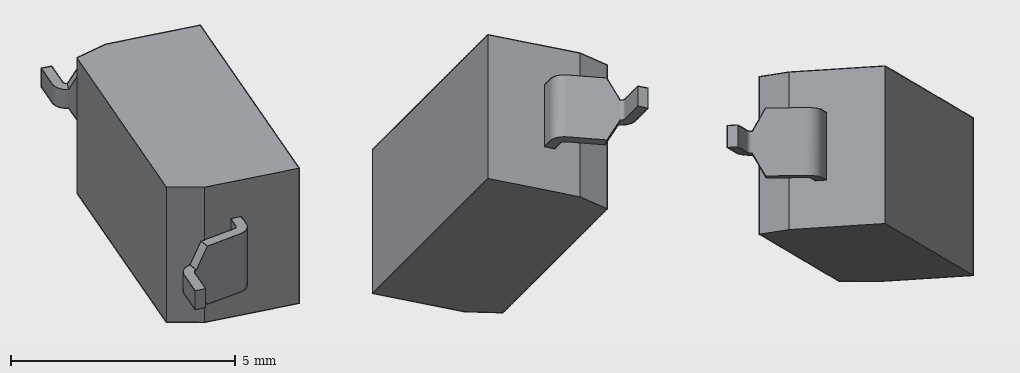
import cadquery as cq
import math

BODY_LENGTH = 6.30
BODY_DEPTH = 3.05
BODY_HEIGHT = 3.58
STANDOFF = 0.08
BEVEL_X = 0.30
BEVEL_Y = 0.80

LEAD_SPAN = 9.80
LEAD_THICKNESS = 0.25
LEAD_TOP = 1.75
LEAD_WIDTH = 1.54
FOOT_WIDTH = 0.50
FOOT_FLAT = 0.70
SHOULDER_FLAT = 0.32
TAPER_LENGTH = 0.30
LEAD_OFFSET_Z = 0.05
INNER_RADIUS = 0.10
OUTER_RADIUS = INNER_RADIUS + LEAD_THICKNESS

FOOT_BEND_X = -LEAD_SPAN / 2 + FOOT_FLAT
FOOT_BEND_Y = OUTER_RADIUS
SHOULDER_BEND_X = -BODY_LENGTH / 2 - SHOULDER_FLAT
SHOULDER_BEND_Y = LEAD_TOP - OUTER_RADIUS

BEND_RUN = SHOULDER_BEND_X - FOOT_BEND_X
BEND_RISE = SHOULDER_BEND_Y - FOOT_BEND_Y
WEB_ANGLE = math.atan2(BEND_RISE, BEND_RUN) + math.asin(
    (INNER_RADIUS + OUTER_RADIUS) / math.hypot(BEND_RUN, BEND_RISE)
)


def make_body():
    half_length = BODY_LENGTH / 2
    back = STANDOFF + BODY_DEPTH
    return (
        cq.Workplane("XY")
        .moveTo(-half_length, back)
        .lineTo(half_length, back)
        .lineTo(half_length, STANDOFF + BEVEL_Y)
        .lineTo(half_length - BEVEL_X, STANDOFF)
        .lineTo(-half_length + BEVEL_X, STANDOFF)
        .lineTo(-half_length, STANDOFF + BEVEL_Y)
        .close()
        .extrude(BODY_HEIGHT / 2, both=True)
    )


def foot_bend_point(radius, turn):
    """Point on the foot bend after turning from the foot towards the web."""
    return (FOOT_BEND_X + radius * math.sin(turn), FOOT_BEND_Y - radius * math.cos(turn))


def shoulder_bend_point(radius, turn):
    """Point on the shoulder bend after turning from the shoulder towards the web."""
    return (SHOULDER_BEND_X - radius * math.sin(turn), SHOULDER_BEND_Y + radius * math.cos(turn))


def make_bent_strip():
    """Full-width strip running from the foot tip to the body's end face."""
    tip_x = -LEAD_SPAN / 2
    root_x = -BODY_LENGTH / 2
    half_turn = WEB_ANGLE / 2
    return (
        cq.Workplane("XY", origin=(0, 0, LEAD_OFFSET_Z))
        .moveTo(tip_x, 0)
        .lineTo(*foot_bend_point(OUTER_RADIUS, 0))
        .threePointArc(
            foot_bend_point(OUTER_RADIUS, half_turn),
            foot_bend_point(OUTER_RADIUS, WEB_ANGLE),
        )
        .lineTo(*shoulder_bend_point(INNER_RADIUS, WEB_ANGLE))
        .threePointArc(
            shoulder_bend_point(INNER_RADIUS, half_turn),
            shoulder_bend_point(INNER_RADIUS, 0),
        )
        .lineTo(root_x, LEAD_TOP - LEAD_THICKNESS)
        .lineTo(root_x, LEAD_TOP)
        .lineTo(*shoulder_bend_point(OUTER_RADIUS, 0))
        .threePointArc(
            shoulder_bend_point(OUTER_RADIUS, half_turn),
            shoulder_bend_point(OUTER_RADIUS, WEB_ANGLE),
        )
        .lineTo(*foot_bend_point(INNER_RADIUS, WEB_ANGLE))
        .threePointArc(
            foot_bend_point(INNER_RADIUS, half_turn),
            foot_bend_point(INNER_RADIUS, 0),
        )
        .lineTo(tip_x, LEAD_THICKNESS)
        .close()
        .extrude(LEAD_WIDTH / 2, both=True)
    )


def make_side_trim(side):
    """Material to remove on one side (+1 or -1) so the web tapers down to the foot width.

    Drawn in the plane of the web, from the end of the foot bend, and cut square to the web.
    """
    start_x, start_y = foot_bend_point(OUTER_RADIUS, WEB_ANGLE)
    web_plane = cq.Plane(
        origin=(start_x, start_y, LEAD_OFFSET_Z),
        xDir=(math.cos(WEB_ANGLE), math.sin(WEB_ANGLE), 0),
        normal=(math.sin(WEB_ANGLE), -math.cos(WEB_ANGLE), 0),
    )
    foot_edge = side * FOOT_WIDTH / 2
    web_edge = side * LEAD_WIDTH / 2
    beyond_foot = -LEAD_SPAN / 2
    return (
        cq.Workplane(web_plane)
        .moveTo(TAPER_LENGTH, web_edge)
        .lineTo(0, foot_edge)
        .lineTo(beyond_foot, foot_edge)
        .lineTo(beyond_foot, web_edge)
        .close()
        .extrude(LEAD_SPAN / 2, both=True)
    )


def make_lead():
    lead = make_bent_strip()
    for side in (-1, 1):
        lead = lead.cut(make_side_trim(side))
    return lead


left_lead = make_lead()
right_lead = left_lead.mirror("YZ")
result = make_body().union(left_lead).union(right_lead)